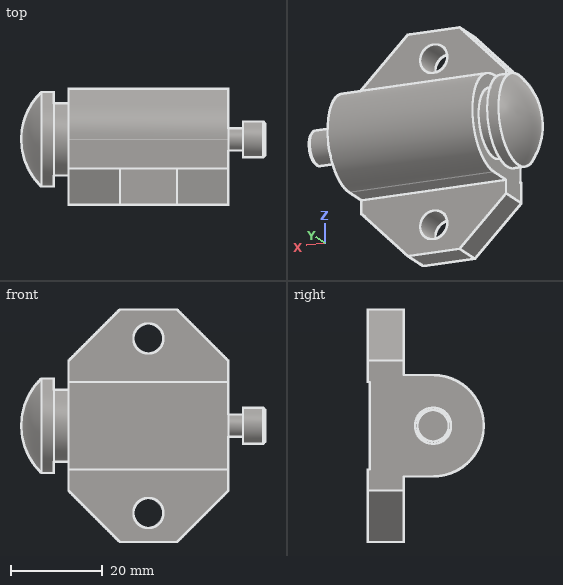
import cadquery as cq

plate_width = 34.9
plate_height = 50.8
plate_thickness = 7.95
corner_cut = 11.2
hole_diameter = 6.5
hole_spacing = 38.1
relief_height = 19.05
relief_depth = 0.45

overall_depth = 25.4
barrel_radius = 11.1
axis_y = overall_depth - barrel_radius

neck_length = 3.2
neck_radius = 7.9
button_radius = 10.35
button_rim = 2.7
dome_height = 4.45

rod_length = 3.2
rod_radius = 2.45
knob_length = 4.9
knob_radius = 3.95
knob_chamfer = 0.55

left_end = -plate_width / 2
right_end = plate_width / 2


def axial_cylinder(start_x, length, radius):
    """Cylinder on the barrel axis, running from start_x toward +X."""
    return (
        cq.Workplane("YZ", origin=(start_x, axis_y, 0))
        .circle(radius)
        .extrude(length)
    )


def make_plate():
    """Octagonal plate with two through holes and a shallow relief across its face."""
    plate = (
        cq.Workplane("XY")
        .box(plate_width, plate_thickness, plate_height)
        .edges("|Y")
        .chamfer(corner_cut)
        .translate((0, plate_thickness / 2, 0))
    )
    holes = (
        cq.Workplane("XZ")
        .pushPoints([(0, -hole_spacing / 2), (0, hole_spacing / 2)])
        .circle(hole_diameter / 2)
        .extrude(-plate_thickness)
    )
    relief = cq.Workplane("XY").box(plate_width, 2 * relief_depth, relief_height)
    return plate.cut(holes).cut(relief)


def make_barrel():
    """Half-round barrel with straight walls running down into the plate."""
    return (
        cq.Workplane("YZ", origin=(left_end, 0, 0))
        .moveTo(relief_depth, -relief_height / 2)
        .lineTo(plate_thickness, -relief_height / 2)
        .lineTo(plate_thickness, -barrel_radius)
        .lineTo(axis_y, -barrel_radius)
        .threePointArc((overall_depth, 0), (axis_y, barrel_radius))
        .lineTo(plate_thickness, barrel_radius)
        .lineTo(plate_thickness, relief_height / 2)
        .lineTo(relief_depth, relief_height / 2)
        .close()
        .extrude(plate_width)
    )


def make_button():
    """Neck and rimmed head, capped by a spherical dome."""
    head_back = left_end - neck_length
    dome_base = head_back - button_rim
    dome_tip = dome_base - dome_height
    sphere_radius = (button_radius**2 + dome_height**2) / (2 * dome_height)
    mid_height = button_radius / 2
    mid_x = dome_tip + sphere_radius - (sphere_radius**2 - mid_height**2) ** 0.5
    return (
        cq.Workplane("XY", origin=(0, axis_y, 0))
        .moveTo(dome_tip, 0)
        .threePointArc((mid_x, mid_height), (dome_base, button_radius))
        .lineTo(head_back, button_radius)
        .lineTo(head_back, neck_radius)
        .lineTo(left_end, neck_radius)
        .lineTo(left_end, 0)
        .close()
        .revolve(360, (0, 0, 0), (1, 0, 0))
    )


def make_knob():
    """Thin rod carrying a knob with a chamfered outer end."""
    rod = axial_cylinder(right_end, rod_length, rod_radius)
    knob = axial_cylinder(right_end + rod_length, knob_length, knob_radius)
    knob = knob.faces(">X").edges().chamfer(knob_chamfer)
    return rod.union(knob)


result = make_plate().union(make_barrel()).union(make_button()).union(make_knob())